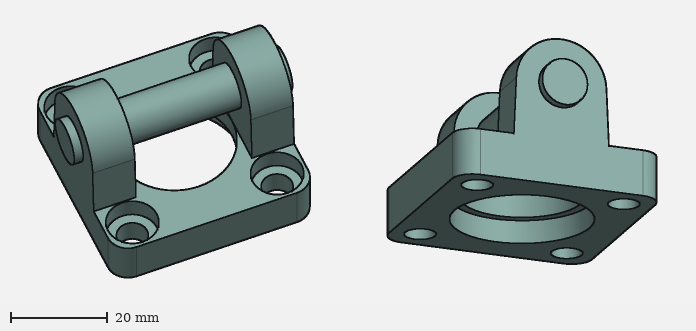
import cadquery as cq
import math

base_side = 45.0
base_height = 10.0
corner_radius = 4.5
bore_diameter = 26.0
recess_diameter = 30.0
recess_depth = base_height / 2

screw_spacing = 32.5
screw_diameter = 6.6
counterbore_diameter = 11.0
counterbore_depth = 4.5

total_height = 32.0
lug_radius = 10.0
lug_foot_width = 21.05
lug_gap = 26.0
pin_diameter = 10.0
pin_length = 49.0
pin_height = total_height - lug_radius


def make_base():
    """Rounded square plate with a bore recessed from below and four screw holes."""
    plate = cq.Workplane("XY").rect(base_side, base_side).extrude(base_height)
    plate = plate.edges("|Z").fillet(corner_radius)
    plate = plate.faces(">Z").workplane().hole(bore_diameter)
    recess = cq.Workplane("XY").circle(recess_diameter / 2).extrude(recess_depth)
    plate = plate.cut(recess)
    return (
        plate.faces(">Z").workplane()
        .rect(screw_spacing, screw_spacing, forConstruction=True).vertices()
        .cboreHole(screw_diameter, counterbore_diameter, counterbore_depth)
    )


def make_lugs():
    """Two tapered, round-topped lugs flush with the -Y and +Y sides of the base."""
    half_foot = lug_foot_width / 2
    rise = pin_height - base_height
    foot_distance = math.hypot(half_foot, rise)
    tangent_angle = math.acos(lug_radius / foot_distance) - math.atan2(rise, half_foot)
    tangent_x = lug_radius * math.cos(tangent_angle)
    tangent_z = pin_height + lug_radius * math.sin(tangent_angle)
    profile = (
        cq.Workplane("XZ").workplane(offset=-base_side / 2)
        .moveTo(-half_foot, base_height)
        .lineTo(-tangent_x, tangent_z)
        .threePointArc((0, total_height), (tangent_x, tangent_z))
        .lineTo(half_foot, base_height)
        .close()
        .extrude(base_side)
    )
    gap = cq.Workplane("XY").box(base_side, lug_gap, 2 * total_height)
    return profile.cut(gap)


def make_pin():
    """Round pin along Y through both lugs."""
    return (
        cq.Workplane("XZ").workplane(offset=-pin_length / 2)
        .center(0, pin_height)
        .circle(pin_diameter / 2)
        .extrude(pin_length)
    )


result = make_base().union(make_lugs()).union(make_pin())